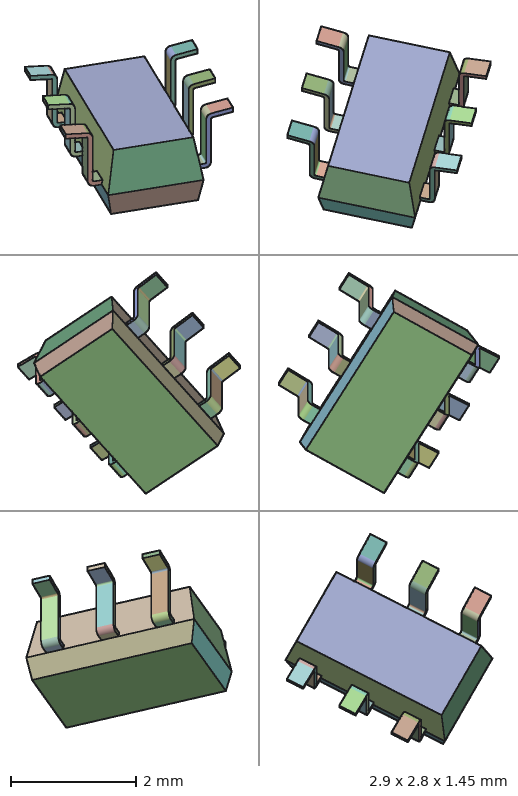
import cadquery as cq
import math

body_length = 2.9
body_width = 1.6
body_height = 1.15
parting_height = 0.405
draft_angle = 10.0

lead_count_per_side = 3
lead_pitch = 0.95
lead_width = 0.3
lead_thickness = 0.08
inner_bend_radius = 0.03
outer_bend_radius = 0.1
leg_outer_y = 1.032
tip_span = 2.8
tip_height = 1.45
foot_angle = 7.0


def make_body():
    """Rectangular package that tapers up and down from its parting plane."""
    parting = cq.Sketch().rect(body_length, body_width)
    plane = cq.Workplane("XY").workplane(offset=parting_height)
    upper = plane.placeSketch(parting).extrude(body_height - parting_height, taper=draft_angle)
    lower = plane.placeSketch(parting).extrude(-parting_height, taper=draft_angle)
    return upper.union(lower)


def make_lead(x, side):
    """One lead centred at x; side is +1 or -1 for the direction in which it points along Y."""
    foot_slope = math.tan(math.radians(foot_angle))
    foot_drop = lead_thickness / math.cos(math.radians(foot_angle))
    shelf_top = parting_height + lead_thickness
    body_y = body_width / 2
    body_y_at_shelf_top = body_y - lead_thickness * math.tan(math.radians(draft_angle))
    leg_inner_y = leg_outer_y - lead_thickness
    tip_y = tip_span / 2
    upper_outer_z = tip_height - (tip_y - leg_inner_y) * foot_slope
    upper_inner_z = tip_height - foot_drop - (tip_y - leg_outer_y) * foot_slope

    profile = [
        (body_y, parting_height),
        (leg_outer_y, parting_height),
        (leg_outer_y, upper_inner_z),
        (tip_y, tip_height - foot_drop),
        (tip_y, tip_height),
        (leg_inner_y, upper_outer_z),
        (leg_inner_y, shelf_top),
        (body_y_at_shelf_top, shelf_top),
    ]
    strip = (
        cq.Workplane("YZ")
        .workplane(offset=x - lead_width / 2)
        .polyline([(side * y, z) for y, z in profile])
        .close()
        .extrude(lead_width)
    )

    def bend_edge(y, z):
        return cq.selectors.NearestToPointSelector((x, side * y, z))

    strip = strip.edges(bend_edge(leg_outer_y, parting_height)).fillet(outer_bend_radius)
    strip = strip.edges(bend_edge(leg_inner_y, shelf_top)).fillet(inner_bend_radius)
    strip = strip.edges(bend_edge(leg_inner_y, upper_outer_z)).fillet(outer_bend_radius)
    return strip.edges(bend_edge(leg_outer_y, upper_inner_z)).fillet(inner_bend_radius)


body = make_body()

leads = []
for side in (-1, 1):
    for index in range(lead_count_per_side):
        lead_x = (index - (lead_count_per_side - 1) / 2) * lead_pitch
        leads.append(make_lead(lead_x, side).val())

result = cq.Compound.makeCompound([body.val(), *leads])